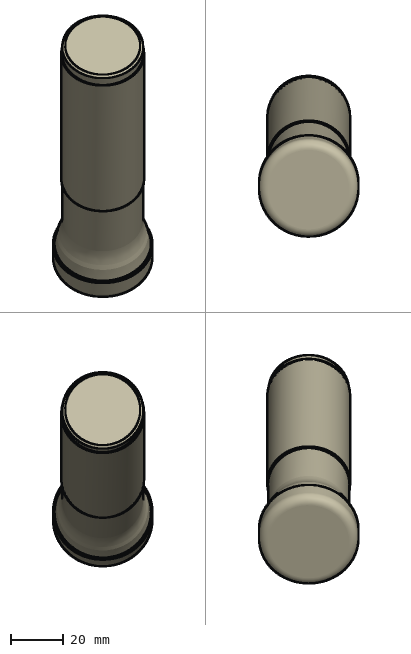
import cadquery as cq
import math

total_height = 130.2
cap_height = 4.8
grip_bottom = 50.1
flare_top = 25.3
base_height = 11.2

base_radius = 19.07
grip_radius = 15.9
neck_radius = 15.5
cap_radius = neck_radius

base_fillet = 3.5
base_chamfer_height = 0.7
base_chamfer_width = 0.3
grip_chamfer_height = 0.8
cap_chamfer_height = 0.8
cap_chamfer_width = 1.2

flare_angle = math.radians(20)
concave_radius = 20.2
steep_cone_height = 2.0
flare_radius = 18.4

cap_bottom = total_height - cap_height


def arc_point(center_r, center_z, radius, angle):
    """Point on a profile arc, with the angle measured from the +r direction."""
    return center_r + radius * math.cos(angle), center_z + radius * math.sin(angle)


def make_handle():
    """Solid of revolution: rounded base, flare, neck and slightly thicker grip."""
    concave_center = (neck_radius + concave_radius, flare_top)
    concave_mid = arc_point(*concave_center, concave_radius, math.pi + flare_angle / 2)
    cone_top = arc_point(*concave_center, concave_radius, math.pi + flare_angle)
    cone_widening = steep_cone_height * math.tan(flare_angle)
    cone_bottom = (cone_top[0] + cone_widening, cone_top[1] - steep_cone_height)

    fillet_center = (base_radius - base_fillet, base_fillet)
    fillet_mid = arc_point(*fillet_center, base_fillet, -math.pi / 4)

    profile = (
        cq.Workplane("XZ")
        .lineTo(base_radius - base_fillet, 0)
        .threePointArc(fillet_mid, (base_radius, base_fillet))
        .lineTo(base_radius, base_height - base_chamfer_height)
        .lineTo(base_radius - base_chamfer_width, base_height)
        .lineTo(flare_radius, base_height)
        .lineTo(*cone_bottom)
        .lineTo(*cone_top)
        .threePointArc(concave_mid, (neck_radius, flare_top))
        .lineTo(neck_radius, grip_bottom - grip_chamfer_height)
        .lineTo(grip_radius, grip_bottom)
        .lineTo(grip_radius, cap_bottom)
        .lineTo(0, cap_bottom)
        .close()
    )
    return profile.revolve(360, (0, 0), (0, 1))


def make_cap():
    """End disc with a bevelled top rim, resting on the grip."""
    profile = (
        cq.Workplane("XZ")
        .moveTo(0, cap_bottom)
        .lineTo(cap_radius, cap_bottom)
        .lineTo(cap_radius, total_height - cap_chamfer_height)
        .lineTo(cap_radius - cap_chamfer_width, total_height)
        .lineTo(0, total_height)
        .close()
    )
    return profile.revolve(360, (0, 0), (0, 1))


handle = make_handle()
cap = make_cap()

result = cq.Compound.makeCompound([handle.val(), cap.val()])